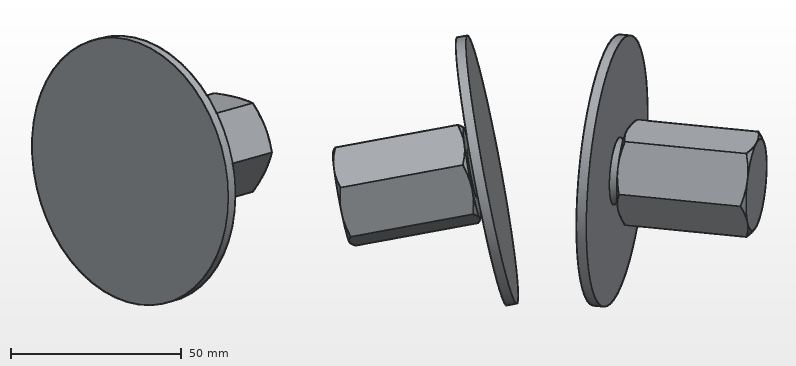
import cadquery as cq
import math

plate_diameter = 80.0
total_length = 45.0
plate_thickness = 3.0
neck_length = 3.0
neck_base_diameter = 20.0
neck_tip_diameter = 14.0
hex_across_flats = 27.0
hex_chamfer_angle = 30.0

hex_start = plate_thickness + neck_length
hex_length = total_length - hex_start
hex_across_corners = hex_across_flats / math.cos(math.radians(30))


def make_plate():
    """Round plate with a conical neck that tapers towards the hexagon."""
    profile = [
        (0, 0),
        (plate_diameter / 2, 0),
        (plate_diameter / 2, plate_thickness),
        (neck_base_diameter / 2, plate_thickness),
        (neck_tip_diameter / 2, hex_start),
        (0, hex_start),
    ]
    return cq.Workplane("XY").polyline(profile).close().revolve(360, (0, 0), (0, 1))


def make_hexagon():
    """Hexagonal pillar with both ends chamfered by cones; two corners lie on the X axis."""
    prism = (
        cq.Workplane("XZ", origin=(0, hex_start, 0))
        .polygon(6, hex_across_corners)
        .extrude(-hex_length)
    )
    face_radius = hex_across_flats / 2
    corner_radius = hex_across_corners / 2
    chamfer_depth = (corner_radius - face_radius) * math.tan(math.radians(hex_chamfer_angle))
    envelope_profile = [
        (0, hex_start),
        (face_radius, hex_start),
        (corner_radius, hex_start + chamfer_depth),
        (corner_radius, total_length - chamfer_depth),
        (face_radius, total_length),
        (0, total_length),
    ]
    envelope = cq.Workplane("XY").polyline(envelope_profile).close().revolve(360, (0, 0), (0, 1))
    return prism.intersect(envelope)


plate = make_plate()
hexagon = make_hexagon()

result = cq.Compound.makeCompound([plate.val(), hexagon.val()])